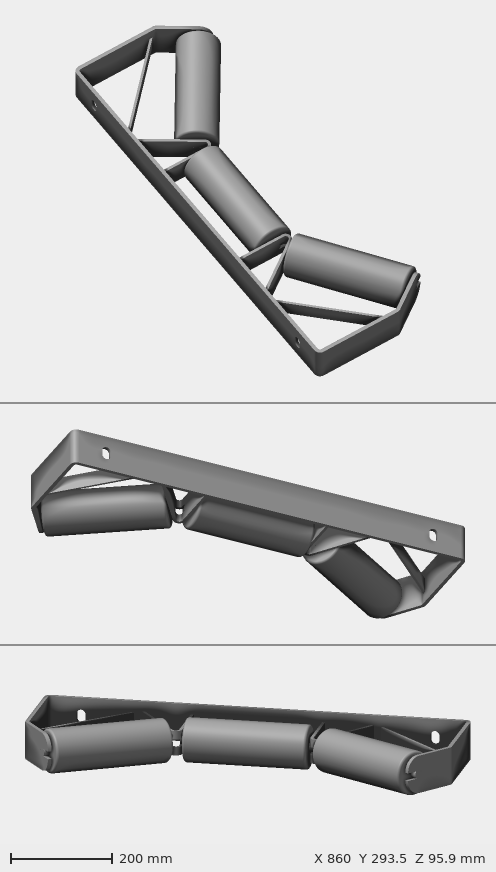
import cadquery as cq
import math

overall_width = 860.0
frame_height = 76.5
frame_thickness = 8.0
frame_bend_radius = 9.5
trough_angle = 35.0
wing_bend_y = 193.0
wing_length = 115.0
wing_corner_radius = 30.0
hole_spacing = 714.0
hole_width = 18.0
hole_height = 27.5

roller_diameter = 89.5
roller_length = 250.0
roller_edge_radius = 5.0
shaft_diameter = 20.0
shaft_flats = 15.5
shoulder_clearance = 1.0
roller_gap = 4.0
center_roller_y = 101.0
center_roller_z = -7.0
outer_shaft_height = 86.0
outer_roller_z = -3.5
outer_roller_tilt = 1.4

bracket_thickness = 6.0
bracket_bend_radius = 9.5
bracket_height = 50.0
bracket_z = center_roller_z

slot_overrun = 9.0
slot_depth = 52.0

brace_thickness = 5.0
brace_height = 32.0
brace_angle = 45.0
brace_start_y = 185.0

slope = math.radians(trough_angle)
side_x = (overall_width - frame_thickness) / 2
back_y = frame_thickness / 2
carrier_offset = roller_length / 2 + roller_gap
wing_distance = carrier_offset + frame_thickness / 2
bracket_distance = carrier_offset + bracket_thickness / 2
wing_shaft_reach = carrier_offset + frame_thickness
bracket_shaft_reach = carrier_offset + bracket_thickness

outer_roller_x = -side_x + outer_shaft_height * math.sin(slope) + wing_distance * math.cos(slope)
outer_roller_y = wing_bend_y + outer_shaft_height * math.cos(slope) - wing_distance * math.sin(slope)


def bent_strip(points, thickness, height, bend_radius=0):
    """Upright strip centred on a line through points in XY, with its bends rounded."""
    path = cq.Wire.makePolygon([cq.Vector(x, y, 0) for x, y in points])
    if bend_radius:
        path = path.fillet(bend_radius)
    (x0, y0), (x1, y1) = points[:2]
    section = cq.Plane(origin=(x0, y0, 0), xDir=(0, 0, 1), normal=(x1 - x0, y1 - y0, 0))
    return cq.Workplane(section).rect(height, thickness).sweep(path)


def rod(diameter, left_reach, right_reach):
    """Rod along X, reaching left and right of the origin."""
    start = cq.Workplane("YZ", origin=(-left_reach, 0, 0))
    return start.circle(diameter / 2).extrude(left_reach + right_reach)


def flatted_shaft(left_reach, right_reach):
    flats = cq.Workplane("XY").box(2 * max(left_reach, right_reach), shaft_diameter, shaft_flats)
    return rod(shaft_diameter, left_reach, right_reach).intersect(flats)


def make_roller(left_reach, right_reach):
    barrel = rod(roller_diameter, roller_length / 2, roller_length / 2)
    barrel = barrel.faces("<X or >X").edges().fillet(roller_edge_radius)
    shoulder = carrier_offset - shoulder_clearance
    round_shaft = rod(shaft_diameter, shoulder, shoulder)
    return barrel.union(round_shaft).union(flatted_shaft(left_reach, right_reach))


def make_slots(left_reach, right_reach):
    """Space for the flatted shaft ends, and for the way they drop in."""
    left_end = left_reach + slot_overrun
    right_end = right_reach + slot_overrun
    seats = flatted_shaft(left_end, right_end)
    entry = cq.Workplane("XY").box(left_end + right_end, slot_depth, shaft_flats)
    return seats.union(entry.translate(((right_end - left_end) / 2, slot_depth / 2, 0)))


def place_center(body):
    return body.translate((0, center_roller_y, center_roller_z))


def place_left(body):
    tilted = body.rotate((0, 0, 0), (0, 1, 0), outer_roller_tilt)
    turned = tilted.rotate((0, 0, 0), (0, 0, 1), -trough_angle)
    return turned.translate((outer_roller_x, outer_roller_y, outer_roller_z))


def make_frame(left_slots):
    tip_x = side_x - wing_length * math.sin(slope)
    tip_y = wing_bend_y + wing_length * math.cos(slope)
    right = [(side_x, back_y), (side_x, wing_bend_y), (tip_x, tip_y)]
    left = [(-x, y) for x, y in reversed(right)]
    frame = bent_strip(left + right, frame_thickness, frame_height, frame_bend_radius)

    for side in (-1, 1):
        across_wing = cq.Vector(math.cos(slope), side * math.sin(slope), 0)
        tip_corners = cq.selectors.ParallelDirSelector(across_wing)
        frame = frame.edges(tip_corners).fillet(wing_corner_radius)

    mounting_holes = (
        cq.Workplane("XZ")
        .pushPoints([(-hole_spacing / 2, 0), (hole_spacing / 2, 0)])
        .slot2D(hole_height, hole_width, 90)
        .extrude(-frame_thickness)
    )
    return frame.cut(mounting_holes).cut(left_slots).cut(left_slots.mirror("YZ"))


def make_left_bracket(frame, left_slots, center_slots):
    """Folded strip: an upright leg at the center roller and a sloping leg at the left roller."""
    leg_x = -bracket_distance
    seat_x = outer_roller_x + bracket_distance * math.cos(slope)
    seat_y = outer_roller_y - bracket_distance * math.sin(slope)
    peak_y = seat_y + (leg_x - seat_x) / math.tan(slope)
    foot_x = leg_x - (peak_y - back_y) * math.tan(slope)
    points = [(leg_x, back_y), (leg_x, peak_y), (foot_x, back_y)]
    strip = bent_strip(points, bracket_thickness, bracket_height, bracket_bend_radius)
    strip = strip.translate((0, 0, bracket_z))
    return strip.cut(frame).cut(left_slots).cut(center_slots)


def make_left_brace(frame):
    """Flat bar from the side to the back, with its square lower end resting on the back."""
    angle = math.radians(brace_angle)
    end_y = frame_thickness + brace_thickness / 2 * math.cos(angle)
    end_x = -side_x + (brace_start_y - end_y) / math.tan(angle)
    points = [(-side_x, brace_start_y), (end_x, end_y)]
    return bent_strip(points, brace_thickness, brace_height).cut(frame)


left_slots = place_left(make_slots(wing_shaft_reach, bracket_shaft_reach))
center_slots = place_center(make_slots(bracket_shaft_reach, bracket_shaft_reach))

frame = make_frame(left_slots)
center_roller = place_center(make_roller(bracket_shaft_reach, bracket_shaft_reach))
left_roller = place_left(make_roller(wing_shaft_reach, bracket_shaft_reach))
left_bracket = make_left_bracket(frame, left_slots, center_slots)
left_brace = make_left_brace(frame)

bodies = [frame.solids().val(), center_roller.solids().val()]
for left_body in (left_roller, left_bracket, left_brace):
    bodies.append(left_body.solids().val())
    bodies.append(left_body.mirror("YZ").solids().val())

result = cq.Compound.makeCompound(bodies)